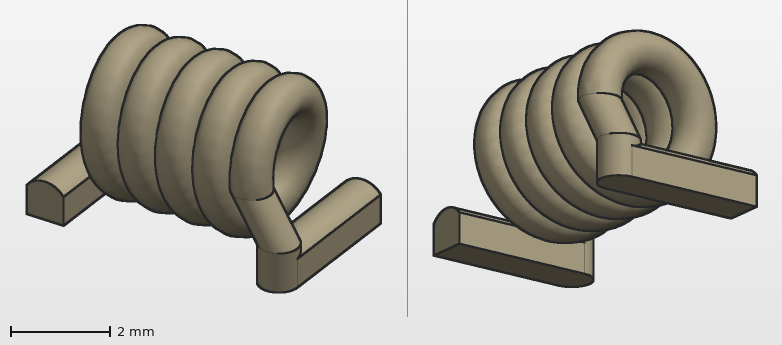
import cadquery as cq

overall_length = 6.22
overall_depth = 3.56
wire_diameter = 0.89
coil_pitch = 0.895
coil_turns = 4.5
coil_axis_height = 1.945
post_height = 0.91
foot_height = 0.89
foot_side_height = 0.67

wire_radius = wire_diameter / 2
coil_radius = overall_depth / 2 - wire_radius
coil_length = coil_pitch * coil_turns
post_x = -overall_length / 2 + wire_radius
coil_start_x = -coil_length / 2


def make_coil():
    """Wind the coil from its back (+Y) side over the top, advancing along +X."""
    path = cq.Workplane(cq.Wire.makeHelix(coil_pitch, coil_length, coil_radius))
    coil = cq.Workplane("XZ").center(coil_radius, 0).circle(wire_radius).sweep(path, isFrenet=True)
    coil = coil.rotate((0, 0, 0), (1, 1, 1), 120)
    return coil.translate((coil_start_x, 0, coil_axis_height))


def make_left_leg():
    """Slanted wire, vertical post and foot at the -X end of the coil."""
    post = cq.Workplane("XY").center(post_x, coil_radius).circle(wire_radius).extrude(post_height)
    slant = (
        cq.Workplane("XY", origin=(post_x, coil_radius, post_height))
        .circle(wire_radius)
        .workplane(offset=coil_axis_height - post_height)
        .center(coil_start_x - post_x, 0)
        .circle(wire_radius)
        .loft(ruled=True)
    )
    foot = (
        cq.Workplane("XZ", origin=(post_x, coil_radius, 0))
        .moveTo(-wire_radius, 0)
        .lineTo(wire_radius, 0)
        .lineTo(wire_radius, foot_side_height)
        .threePointArc((0, foot_height), (-wire_radius, foot_side_height))
        .close()
        .extrude(coil_radius + overall_depth / 2)
    )
    return post.union(slant).union(foot)


left_leg = make_left_leg()
right_leg = left_leg.rotate((0, 0, 0), (0, 0, 1), 180)

result = make_coil().union(left_leg).union(right_leg)